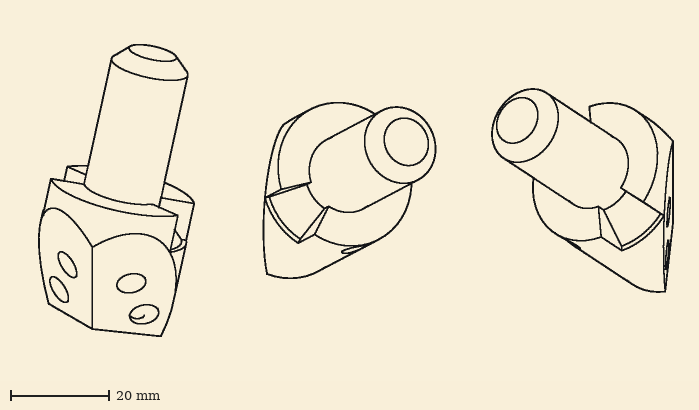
import cadquery as cq
import math

body_diameter = 30.0
body_length = 30.0
stud_diameter = 16.0
stud_length = 30.0
stud_chamfer = 3.0
tilt = math.degrees(math.atan(1 / math.sqrt(2)))
face_angle = 30.0

notch_angle = 45.0
notch_outer_depth = 8.0
notch_inner_depth = 2.0
notch_ledge = 1.0

hole_diameter = 6.0
through_hole_offset = 8.05
through_hole_height = 13.0
elbow_offset = 10.7
elbow_height = 2.65

body_radius = body_diameter / 2
stud_radius = stud_diameter / 2
hole_radius = hole_diameter / 2
overshoot = 3.0
past_part = 2 * (body_length + stud_length)

AXIS = cq.Vector(0, math.sin(math.radians(tilt)), math.cos(math.radians(tilt)))


def lean(shape):
    """Tip a shape built along Z over onto the part axis."""
    return shape.rotate((0, 0, 0), (1, 0, 0), -tilt)


def stud():
    return (
        cq.Workplane("XY")
        .workplane(offset=body_length)
        .circle(stud_radius)
        .extrude(stud_length)
        .faces(">Z")
        .chamfer(stud_chamfer)
    )


def side_notch(side):
    """Radial-walled notch with a conical floor and flat rim, centred on the +X or -X side."""
    outer_radius = body_radius + overshoot
    ledge_height = body_length - notch_outer_depth
    profile = [
        (stud_radius, body_length),
        (outer_radius, body_length),
        (outer_radius, ledge_height),
        (body_radius - notch_ledge, ledge_height),
        (stud_radius, body_length - notch_inner_depth),
    ]
    sector = cq.Workplane("XZ").polyline(profile).close().revolve(notch_angle, (0, 0), (0, 1))
    middle = sector.val().Center()
    current = math.degrees(math.atan2(middle.y, middle.x))
    target = 0 if side > 0 else 180
    return sector.rotate((0, 0, 0), (0, 0, 1), target - current)


def front_wedge():
    """Prism behind the two vertical front faces, which meet on the Z axis."""
    setback = past_part * math.tan(math.radians(face_angle))
    outline = [
        (0, 0),
        (past_part, setback),
        (past_part, past_part),
        (-past_part, past_part),
        (-past_part, setback),
    ]
    return cq.Workplane("XY").polyline(outline).close().extrude(2 * past_part, both=True)


def bore(start, end):
    span = end - start
    return cq.Workplane(cq.Solid.makeCylinder(hole_radius, span.Length, start, span.normalized()))


def face_directions(side):
    """Unit vectors along a front face away from the edge, and into the part."""
    angle = math.radians(face_angle)
    along = cq.Vector(side * math.cos(angle), math.sin(angle), 0)
    inward = cq.Vector(-side * math.sin(angle), math.cos(angle), 0)
    return along, inward


def through_hole(side):
    along, inward = face_directions(side)
    entry = along * through_hole_offset + cq.Vector(0, 0, through_hole_height)
    return bore(entry - inward * overshoot, entry + inward * past_part)


def elbow_hole(side):
    """Round passage that curves about the corner edge, from a front face to the bottom face."""
    along, inward = face_directions(side)
    entry = along * elbow_offset + cq.Vector(0, 0, elbow_height)
    edge_direction = AXIS.cross(inward).normalized()
    centre = edge_direction * entry.dot(edge_direction)
    bend_radius = (entry - centre).Length
    ring = cq.Solid.makeTorus(bend_radius, hole_radius, centre, edge_direction)
    return cq.Workplane(ring)


blank = cq.Workplane("XY").circle(body_radius).extrude(body_length)
for side in (-1, 1):
    blank = blank.cut(side_notch(side))
blank = blank.union(stud(), clean=False)

result = lean(blank).intersect(front_wedge(), clean=False)
for side in (-1, 1):
    result = result.cut(through_hole(side), clean=False)
    result = result.cut(elbow_hole(side), clean=False)